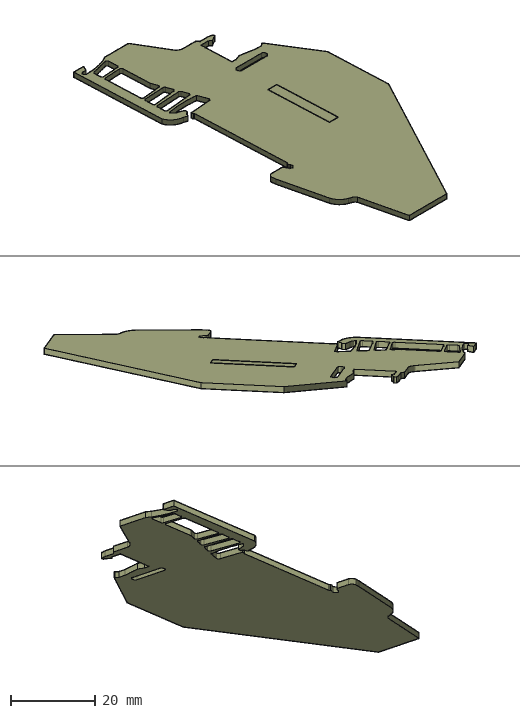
import cadquery as cq

LENGTH = 100.0
WIDTH = 48.0
THICKNESS = 1.5

BODY_LEFT_X = 0.9
BODY_LEFT_BOTTOM_Y = 9.7
BODY_LEFT_TOP_Y = 17.9
BASE_Y = 7.0
LIP_DROP = 0.3

FOOT_BAR_TOP_Y = 3.0
FOOT_BAR_END_X = 29.0
WINDOW_CEILING_Y = 9.1
CEILING_RISE_X = 16.5
CEILING_SLOPE = 1 / 3
WINDOW_CORNER_RADIUS = 0.5
WINDOW_SIDES = [
    ((2.1, 3.6), (6.1, 6.5)),
    ((6.9, 7.2), (19.0, 19.7)),
    ((19.9, 20.3), (22.7, 23.6)),
    ((23.8, 24.3), (26.6, 27.5)),
]

SLOT_WIDTH = 1.7
SLOT_LENGTH = 10.0
SLOT_CENTER = (27.5, 32.4)
SLOT_CORNER_RADIUS = 0.7

LABEL_LENGTH = 20.2
LABEL_WIDTH = 3.0
LABEL_DEPTH = 0.1
LABEL_CENTER = (48.6, 28.0)


def ceiling_y(x):
    """Height of the window ceiling above the foot at position x."""
    return WINDOW_CEILING_Y + CEILING_SLOPE * max(0, x - CEILING_RISE_X)


def trace_foot(path):
    """From the left wall down the outer rib, along the foot and back to the rail edge."""
    return (
        path.lineTo(BODY_LEFT_X, BODY_LEFT_BOTTOM_Y)
        .lineTo(1.6, 8.4)
        .threePointArc((2.5, 5.1), (2.8, 1.5))
        .threePointArc((2.2, 0.9), (1.6, 1.5))
        .lineTo(1.6, 2.6)
        .lineTo(0, 3.4)
        .lineTo(0, 0)
        .lineTo(FOOT_BAR_END_X, 0)
        .threePointArc((31.3, 1.7), (32.2, 4.0))
        .lineTo(32.6, 5.2)
        .lineTo(31.5, 5.8)
        .lineTo(31.3, 6.4)
        .lineTo(30.4, 6.4)
        .lineTo(29.7, 4.6)
        .threePointArc((29.2, 3.7), (28.6, 3.3))
        .lineTo(28.3, 3.3)
        .threePointArc((27.8, 8.2), (28.0, ceiling_y(28.0)))
        .lineTo(31.0, ceiling_y(31.0))
        .threePointArc((31.5, 13.8), (31.7, 13.2))
        .lineTo(32.2, BASE_Y - LIP_DROP)
        .lineTo(32.9, BASE_Y - LIP_DROP)
        .lineTo(33.0, BASE_Y)
    )


def trace_fixed_foot(path):
    """Along the rail edge, round the rigid hook and up to the right wall."""
    return (
        path.lineTo(63.5, BASE_Y)
        .lineTo(63.7, BASE_Y - LIP_DROP)
        .lineTo(64.3, BASE_Y - LIP_DROP)
        .lineTo(64.6, BASE_Y)
        .lineTo(65.2, BASE_Y)
        .threePointArc((65.8, 6.4), (65.5, 5.7))
        .lineTo(64.2, 5.1)
        .threePointArc((64.0, 4.9), (63.9, 4.6))
        .lineTo(63.9, 1.1)
        .threePointArc((64.3, 0.3), (65.2, 0))
        .lineTo(66.4, 0.1)
        .lineTo(81.2, 3.0)
        .threePointArc((83.2, 4.1), (84.5, 6.0))
        .lineTo(84.7, 6.6)
        .threePointArc((85.1, 7.4), (85.7, 7.9))
        .lineTo(LENGTH, 10.7)
    )


def trace_head(path):
    """From the right wall over the top and down the clip notch to the left wall."""
    return (
        path.lineTo(LENGTH, 23.6)
        .lineTo(57.6, WIDTH)
        .lineTo(37.5, WIDTH)
        .lineTo(23.8, 40.0)
        .lineTo(23.8, 39.7)
        .lineTo(24.4, 39.0)
        .lineTo(24.4, 37.0)
        .lineTo(23.5, 32.3)
        .lineTo(24.1, 30.6)
        .lineTo(24.1, 29.2)
        .lineTo(13.9, 29.2)
        .lineTo(13.9, 31.8)
        .lineTo(14.5, 32.5)
        .lineTo(13.6, 34.1)
        .lineTo(13.6, 34.4)
        .lineTo(12.9, 34.4)
        .lineTo(12.6, 33.0)
        .lineTo(12.6, 30.3)
        .lineTo(11.8, 29.6)
        .lineTo(11.8, 25.1)
        .threePointArc((11.4, 24.0), (10.5, 23.2))
        .lineTo(BODY_LEFT_X, BODY_LEFT_TOP_Y)
    )


def make_plate():
    path = cq.Workplane("XY").moveTo(BODY_LEFT_X, BODY_LEFT_TOP_Y)
    path = trace_foot(path)
    path = trace_fixed_foot(path)
    path = trace_head(path)
    return path.close().extrude(THICKNESS)


def make_window(left, right):
    """Cutter for the opening between two neighbouring ribs."""
    left_top, left_bottom = left
    right_top, right_bottom = right
    corners = [(left_bottom, FOOT_BAR_TOP_Y), (left_top, ceiling_y(left_top))]
    if left_top < CEILING_RISE_X < right_top:
        corners.append((CEILING_RISE_X, WINDOW_CEILING_Y))
    corners += [(right_top, ceiling_y(right_top)), (right_bottom, FOOT_BAR_TOP_Y)]
    window = cq.Workplane("XY").polyline(corners).close().extrude(THICKNESS)
    return window.edges("|Z").fillet(WINDOW_CORNER_RADIUS)


def make_slot():
    slot = cq.Workplane("XY").center(*SLOT_CENTER).rect(SLOT_WIDTH, SLOT_LENGTH).extrude(THICKNESS)
    return slot.edges("|Z").fillet(SLOT_CORNER_RADIUS)


def make_label_recess():
    floor = cq.Workplane("XY").workplane(offset=THICKNESS - LABEL_DEPTH)
    return floor.center(*LABEL_CENTER).rect(LABEL_LENGTH, LABEL_WIDTH).extrude(LABEL_DEPTH)


result = make_plate()
for left_side, right_side in WINDOW_SIDES:
    result = result.cut(make_window(left_side, right_side))
result = result.cut(make_slot())
result = result.cut(make_label_recess())